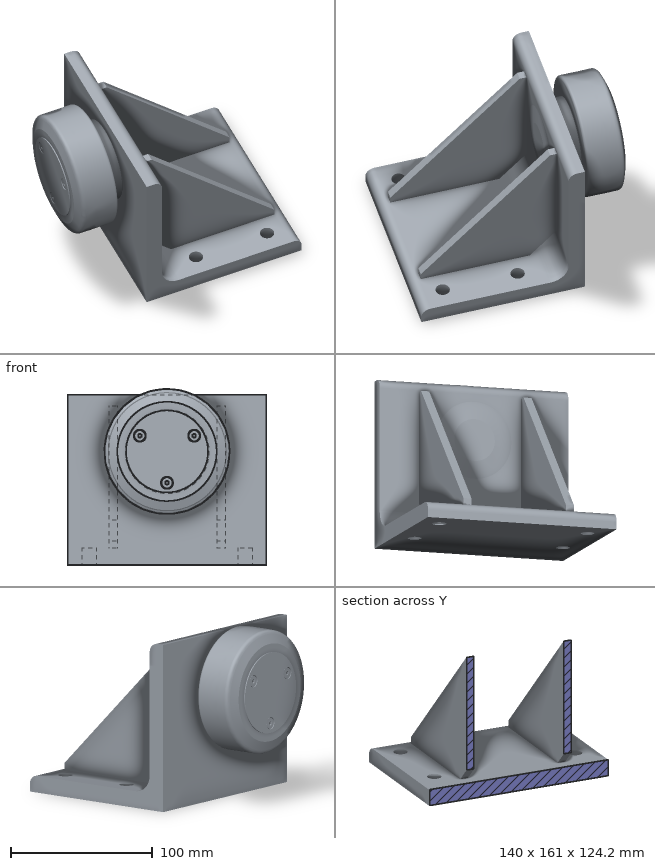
import cadquery as cq
import math

FULL_TURN = 360.0

BRACKET_LENGTH = 140.0
LEG = 120.0
LEG_THICKNESS = 12.0
ROOT_RADIUS = 13.0
TOE_RADIUS = 6.5

MOUNT_HOLE_DIAMETER = 10.11
MOUNT_HOLE_X = 55.0
MOUNT_HOLE_YS = (45.0, 100.0)

RIB_THICKNESS = 6.0
RIB_X = 38.0
RIB_REACH = 112.0
RIB_END = 5.0
RIB_CORNER_RELIEF = 20.0

AXIS_HEIGHT = 80.0

PIN_DIAMETER = 59.0
PIN_LENGTH = 10.0
PIN_CHAMFER = 0.5
WELD_DIAMETER = 55.3
WELD_TOP_DIAMETER = 30.0
WELD_HEIGHT = 1.2

ROLLER_RADIUS = 44.15
CROWN_RISE = 0.12
CROWN_END = 34.5
BACK_EDGE_RADIUS = 2.0
CONE_START = 37.7
CONE_START_RADIUS = 41.6
ROLLER_FACE = 40.2
ROLLER_FACE_RADIUS = 35.0

COVER_DIAMETER = 57.8
COVER_FACE = 41.0
SCREW_COUNT = 3
FIRST_SCREW_ANGLE = -90.0
SCREW_CIRCLE_RADIUS = 22.1
SCREW_POCKET_DIAMETER = 8.6
SCREW_HEAD_DIAMETER = 7.8
SCREW_POCKET_DEPTH = 2.0
SCREW_HEAD_RECESS = 0.3
SOCKET_SIDES = 6
SOCKET_WIDTH = 2.5
SOCKET_DEPTH = 1.5


def make_bracket():
    section = (
        cq.Workplane("YZ")
        .polyline([
            (0, 0),
            (LEG, 0),
            (LEG, LEG_THICKNESS),
            (LEG_THICKNESS, LEG_THICKNESS),
            (LEG_THICKNESS, LEG),
            (0, LEG),
        ])
        .close()
        .extrude(BRACKET_LENGTH / 2, both=True)
    )
    root = cq.selectors.NearestToPointSelector((0, LEG_THICKNESS, LEG_THICKNESS))
    floor_toe = cq.selectors.NearestToPointSelector((0, LEG, LEG_THICKNESS))
    wall_toe = cq.selectors.NearestToPointSelector((0, LEG_THICKNESS, LEG))
    bracket = section.edges(root).fillet(ROOT_RADIUS)
    bracket = bracket.edges(floor_toe).fillet(TOE_RADIUS)
    bracket = bracket.edges(wall_toe).fillet(TOE_RADIUS)
    hole_centers = [(side * MOUNT_HOLE_X, y) for side in (-1, 1) for y in MOUNT_HOLE_YS]
    holes = (
        cq.Workplane("XY")
        .pushPoints(hole_centers)
        .circle(MOUNT_HOLE_DIAMETER / 2)
        .extrude(LEG_THICKNESS)
    )
    return bracket.cut(holes)


def make_rib(center_x):
    inner = LEG_THICKNESS
    relief = LEG_THICKNESS + RIB_CORNER_RELIEF
    blunt = LEG_THICKNESS + RIB_END
    return (
        cq.Workplane("YZ", origin=(center_x, 0, 0))
        .polyline([
            (relief, inner),
            (RIB_REACH, inner),
            (RIB_REACH, blunt),
            (blunt, RIB_REACH),
            (inner, RIB_REACH),
            (inner, relief),
        ])
        .close()
        .extrude(RIB_THICKNESS / 2, both=True)
    )


def disc(diameter, start, end, x=0.0, z=0.0):
    """Cylinder spanning two distances along -Y; x and z are offsets from the roller axis."""
    return (
        cq.Workplane("XZ", origin=(x, -start, AXIS_HEIGHT + z))
        .circle(diameter / 2)
        .extrude(end - start)
    )


def revolve_about_axis(profile):
    return profile.close().revolve(FULL_TURN, (0, 0, 0), (0, 1, 0)).translate((0, 0, AXIS_HEIGHT))


def make_pin():
    return disc(PIN_DIAMETER, 0, PIN_LENGTH).edges().chamfer(PIN_CHAMFER)


def make_weld():
    weld_face = LEG_THICKNESS + WELD_HEIGHT
    cone = (
        cq.Workplane("XY")
        .moveTo(0, LEG_THICKNESS)
        .lineTo(WELD_DIAMETER / 2, LEG_THICKNESS)
        .lineTo(WELD_TOP_DIAMETER / 2, weld_face)
        .lineTo(0, weld_face)
    )
    return revolve_about_axis(cone)


def make_roller():
    crown_edge_radius = ROLLER_RADIUS - CROWN_RISE
    crown_start = PIN_LENGTH + BACK_EDGE_RADIUS
    crown_middle = (crown_start + CROWN_END) / 2
    rounding_center_radius = crown_edge_radius - BACK_EDGE_RADIUS
    rounding_offset = BACK_EDGE_RADIUS * math.sqrt(0.5)
    rounding_middle = (rounding_center_radius + rounding_offset, rounding_offset - crown_start)
    cone_direction = (ROLLER_FACE_RADIUS - CONE_START_RADIUS, CONE_START - ROLLER_FACE)
    profile = (
        cq.Workplane("XY")
        .moveTo(0, -PIN_LENGTH)
        .lineTo(rounding_center_radius, -PIN_LENGTH)
        .threePointArc(rounding_middle, (crown_edge_radius, -crown_start))
        .threePointArc((ROLLER_RADIUS, -crown_middle), (crown_edge_radius, -CROWN_END))
        .spline([(CONE_START_RADIUS, -CONE_START)], tangents=[(0, -1), cone_direction], includeCurrent=True)
        .lineTo(ROLLER_FACE_RADIUS, -ROLLER_FACE)
        .lineTo(0, -ROLLER_FACE)
    )
    return revolve_about_axis(profile)


def add_screw(body, angle):
    x = SCREW_CIRCLE_RADIUS * math.cos(angle)
    z = SCREW_CIRCLE_RADIUS * math.sin(angle)
    pocket_floor = COVER_FACE - SCREW_POCKET_DEPTH
    head_face = COVER_FACE - SCREW_HEAD_RECESS
    pocket = disc(SCREW_POCKET_DIAMETER, pocket_floor, COVER_FACE, x, z)
    head = disc(SCREW_HEAD_DIAMETER, pocket_floor, head_face, x, z)
    socket = (
        cq.Workplane("XZ", origin=(x, -head_face, AXIS_HEIGHT + z))
        .polygon(SOCKET_SIDES, SOCKET_WIDTH, circumscribed=True)
        .extrude(-SOCKET_DEPTH)
    )
    return body.cut(pocket).union(head).cut(socket)


result = make_bracket()
for side in (-1, 1):
    result = result.union(make_rib(side * RIB_X))
result = result.union(make_weld())
result = result.union(make_pin())
result = result.union(make_roller())
result = result.union(disc(COVER_DIAMETER, ROLLER_FACE, COVER_FACE))
for index in range(SCREW_COUNT):
    result = add_screw(result, math.radians(FIRST_SCREW_ANGLE + index * FULL_TURN / SCREW_COUNT))